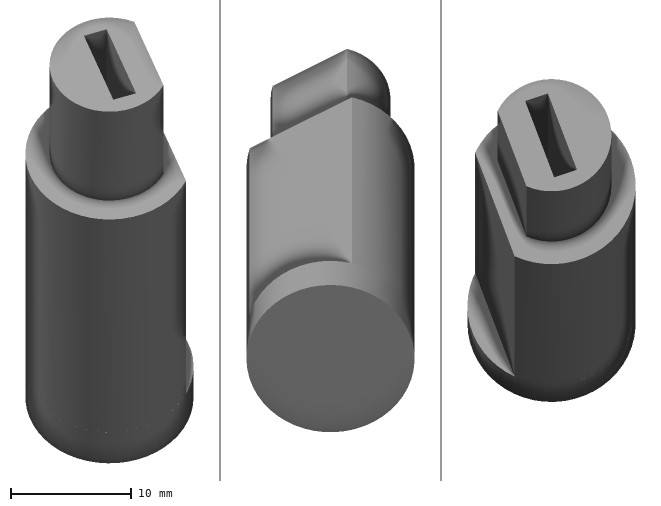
import cadquery as cq

total_height = 44.75
body_diameter = 14.0
cap_height = 4.15

barrel_top = 32.8
barrel_flat_y = 5.0

neck_diameter = 9.98
neck_flat_y = 3.5

slot_length = 7.2
slot_width = 2.0
slot_center_y = 0.05
slot_depth = total_height - cap_height


def flatted_cylinder(diameter, flat_y, bottom, top):
    """Upright cylinder cut off by a plane at y = flat_y."""
    height = top - bottom
    cylinder = cq.Workplane("XY", origin=(0, 0, bottom)).circle(diameter / 2).extrude(height)
    kept_depth = diameter / 2 + flat_y
    kept_side = (
        cq.Workplane("XY", origin=(0, flat_y - kept_depth / 2, bottom))
        .rect(diameter, kept_depth)
        .extrude(height)
    )
    return cylinder.intersect(kept_side)


def make_end_cap():
    """Full round disc that closes the bottom of the handle."""
    return cq.Workplane("XY").circle(body_diameter / 2).extrude(cap_height)


def make_handle():
    """Flatted barrel and neck in one piece, with a slot right through."""
    barrel = flatted_cylinder(body_diameter, barrel_flat_y, cap_height, barrel_top)
    neck = flatted_cylinder(neck_diameter, neck_flat_y, barrel_top, total_height)
    slot = (
        cq.Workplane("XY", origin=(0, slot_center_y, total_height - slot_depth))
        .rect(slot_length, slot_width)
        .extrude(slot_depth)
    )
    return barrel.union(neck).cut(slot)


end_cap = make_end_cap()
handle = make_handle()

result = cq.Compound.makeCompound([end_cap.val(), handle.val()])